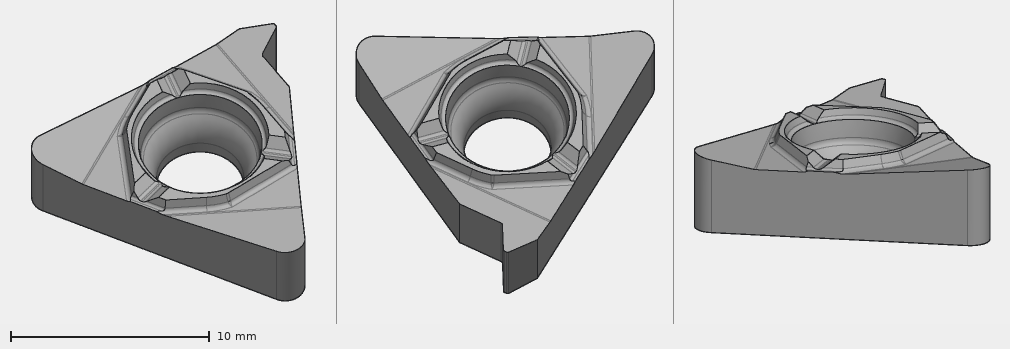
import cadquery as cq
import math

INSCRIBED_RADIUS = 9.525 / 2
CORNER_RADIUS = 1.0
INSERT_HEIGHT = 4.1
FLOOR_HEIGHT = 3.5
FIRST_SECTOR = 90
SECTOR_ANGLES = (0, 120, 240)

TOOTH_TIP_Y = 7.2
SHOULDER_Y = 5.68
TOOTH_HALF_WIDTH = 1.0
TOOTH_FLANK_ANGLE = 60
TOOTH_TIP_RADIUS = 0.1
TOOTH_ROOT_RADIUS = 0.15

RAKE_ANGLE = 10
RAKE_START = 4.25
RAKE_BLEND_RADIUS = 0.5
FLOOR_REACH = 12.0

ISLAND_FRONT = 3.75
ISLAND_FLANK = 3.62
ISLAND_SIDE = 4.27
ISLAND_FLANK_TURN = 32
ISLAND_SIDE_TURN = 90
ISLAND_DRAFT = 25
ISLAND_FOOT_RADIUS = 0.3
ISLAND_CREASE_RADIUS = 0.6
LEDGE_HEIGHT = 3.57
LEDGE_FOOT_RADIUS = 0.18

NOTCH_ANGLE = 46
NOTCH_BOTTOM = 3.6
NOTCH_BOTTOM_WIDTH = 0.3
NOTCH_TOP_WIDTH = 1.5
NOTCH_BLEND_RADIUS = 0.3
NOTCH_REACH = 8.0

HOLE_RADIUS = 4.4 / 2
HOLE_STRAIGHT_HEIGHT = 0.74
SEAT_RADIUS = 2.25
SEAT_FLARE_ANGLE = 45
HEAD_BOTTOM_RADIUS = 3.0
HEAD_TOP_RADIUS = 3.12
SHELF_HEIGHT = NOTCH_BOTTOM
RIM_RADIUS = 3.47
RIM_DRAFT = 20


def polar(radius, angle):
    """Point at a distance and an angle in degrees from the hole axis."""
    return (radius * math.cos(math.radians(angle)), radius * math.sin(math.radians(angle)))


def turned(solid, angle):
    """Solid turned about the hole axis, counterclockwise from above."""
    return solid.rotate((0, 0, 0), (0, 0, 1), angle)


def meet(distance_a, angle_a, distance_b, angle_b):
    """Crossing of two lines, each given by its distance and normal angle from the hole axis."""
    ax, ay = polar(1, angle_a)
    bx, by = polar(1, angle_b)
    determinant = ax * by - ay * bx
    x = (distance_a * by - distance_b * ay) / determinant
    y = (ax * distance_b - bx * distance_a) / determinant
    return (x, y)


def body_prism():
    """Triangle with two round corners and the tooth on the third one."""
    side = INSCRIBED_RADIUS
    tooth_x = TOOTH_HALF_WIDTH - side
    flank_slope = math.tan(math.radians(TOOTH_FLANK_ANGLE))
    tip_half_width = TOOTH_HALF_WIDTH - (TOOTH_TIP_Y - SHOULDER_Y) / flank_slope
    lower_corner = meet(side, 180, side, 300)
    right_corner = meet(side, 300, side, 60)
    shoulder_end = meet(side, 60, SHOULDER_Y, 90)
    tooth_root = (tooth_x + TOOTH_HALF_WIDTH, SHOULDER_Y)
    tip_right = (tooth_x + tip_half_width, TOOTH_TIP_Y)
    tip_left = (tooth_x - tip_half_width, TOOTH_TIP_Y)
    outline = [lower_corner, right_corner, shoulder_end, tooth_root, tip_right, tip_left, (-side, SHOULDER_Y)]
    prism = cq.Workplane("XY").polyline(outline).close().extrude(INSERT_HEIGHT)

    def round_edges(solid, points, radius):
        for x, y in points:
            edge = cq.selectors.NearestToPointSelector((x, y, INSERT_HEIGHT / 2))
            solid = solid.edges("|Z").edges(edge).fillet(radius)
        return solid

    prism = round_edges(prism, [lower_corner, right_corner], CORNER_RADIUS)
    prism = round_edges(prism, [tip_right, tip_left], TOOTH_TIP_RADIUS)
    return round_edges(prism, [tooth_root], TOOTH_ROOT_RADIUS)


def rake_wedge():
    """Material under the rake face on the +X side."""
    rake = math.radians(RAKE_ANGLE)
    blend_end = (RAKE_START + RAKE_BLEND_RADIUS * math.sin(rake),
                 FLOOR_HEIGHT + RAKE_BLEND_RADIUS * (1 - math.cos(rake)))
    blend_middle = (RAKE_START + RAKE_BLEND_RADIUS * math.sin(rake / 2),
                    FLOOR_HEIGHT + RAKE_BLEND_RADIUS * (1 - math.cos(rake / 2)))
    rake_end_height = blend_end[1] + (FLOOR_REACH - blend_end[0]) * math.tan(rake)
    return (
        cq.Workplane("XZ")
        .moveTo(RAKE_START, 0)
        .lineTo(RAKE_START, FLOOR_HEIGHT)
        .threePointArc(blend_middle, blend_end)
        .lineTo(FLOOR_REACH, rake_end_height)
        .lineTo(FLOOR_REACH, 0)
        .close()
        .extrude(FLOOR_REACH, both=True)
    )


def wall_outline(top_distance, floor=FLOOR_HEIGHT, foot_radius=ISLAND_FOOT_RADIUS):
    """Section outside a drafted island wall: wall, foot fillet and floor, against distance from the axis."""
    draft = math.radians(ISLAND_DRAFT)
    wall_angle = math.pi / 2 - draft
    spread = (INSERT_HEIGHT - floor) * math.tan(draft)
    foot_end = top_distance + spread + foot_radius * math.tan(wall_angle / 2)

    def foot_point(angle):
        return (foot_end - foot_radius * math.sin(angle),
                floor + foot_radius * (1 - math.cos(angle)))

    return (
        cq.Workplane("XZ")
        .moveTo(top_distance, INSERT_HEIGHT)
        .lineTo(*foot_point(wall_angle))
        .threePointArc(foot_point(wall_angle / 2), foot_point(0))
        .lineTo(FLOOR_REACH, floor)
        .lineTo(FLOOR_REACH, INSERT_HEIGHT)
        .close()
    )


def island_surroundings():
    """Material removed around one third of the island, whose front wall faces +X."""
    front_end = wall_outline(ISLAND_FRONT).extrude(FLOOR_REACH)
    front_round = wall_outline(ISLAND_FRONT).revolve(ISLAND_FLANK_TURN, (0, 0, 0), (0, 1, 0))
    flank = wall_outline(ISLAND_FLANK).extrude(FLOOR_REACH, both=True)
    side = wall_outline(ISLAND_SIDE, LEDGE_HEIGHT, LEDGE_FOOT_RADIUS).extrude(FLOOR_REACH, both=True)
    return [front_end, front_round, turned(flank, ISLAND_FLANK_TURN), turned(side, ISLAND_SIDE_TURN)]


def flank_creases():
    """Selector for the wall edges where each front round meets its flank wall."""
    turn = ISLAND_FLANK_TURN - math.degrees(math.acos(ISLAND_FLANK / ISLAND_FRONT))
    creases = None
    for sector in SECTOR_ANGLES:
        x, y = polar(ISLAND_FRONT, FIRST_SECTOR + sector + turn)
        crease = cq.selectors.NearestToPointSelector((x, y, (INSERT_HEIGHT + FLOOR_HEIGHT) / 2))
        creases = crease if creases is None else creases + crease
    return creases


def notch():
    """Trapezoid channel running outwards along +X with blended bottom corners."""
    rise = INSERT_HEIGHT - NOTCH_BOTTOM
    half_bottom = NOTCH_BOTTOM_WIDTH / 2
    half_top = NOTCH_TOP_WIDTH / 2
    return (
        cq.Workplane("YZ")
        .polyline([(-half_bottom, 0), (half_bottom, 0), (half_top, rise), (-half_top, rise)])
        .close()
        .extrude(NOTCH_REACH)
        .edges("|X and <Z")
        .fillet(NOTCH_BLEND_RADIUS)
        .translate((0, 0, NOTCH_BOTTOM))
    )


def screw_hole():
    """Straight hole, bulging seat, head bore and hollow rim, turned about the axis."""
    flare = math.radians(SEAT_FLARE_ANGLE)

    def seat_point(angle):
        return (HOLE_RADIUS + SEAT_RADIUS * (1 - math.cos(angle)),
                HOLE_STRAIGHT_HEIGHT + SEAT_RADIUS * math.sin(angle))

    seat_top = seat_point(flare)
    blend_radius = (HEAD_BOTTOM_RADIUS - seat_top[0]) / (1 - math.cos(flare))

    def blend_point(angle):
        return (HEAD_BOTTOM_RADIUS - blend_radius * (1 - math.cos(angle)),
                seat_top[1] + blend_radius * (math.sin(flare) - math.sin(angle)))

    draft = math.radians(RIM_DRAFT)
    hollow_turn = math.pi / 2 - draft
    wall_foot = RIM_RADIUS - (INSERT_HEIGHT - SHELF_HEIGHT) * math.tan(draft)
    hollow_radius = (wall_foot - HEAD_TOP_RADIUS) / math.tan(hollow_turn / 2)

    def hollow_point(angle):
        return (HEAD_TOP_RADIUS + hollow_radius * math.sin(angle),
                SHELF_HEIGHT + hollow_radius * (1 - math.cos(angle)))

    return (
        cq.Workplane("XZ")
        .lineTo(HOLE_RADIUS, 0)
        .lineTo(HOLE_RADIUS, HOLE_STRAIGHT_HEIGHT)
        .threePointArc(seat_point(flare / 2), seat_top)
        .threePointArc(blend_point(flare / 2), blend_point(0))
        .lineTo(HEAD_TOP_RADIUS, SHELF_HEIGHT)
        .threePointArc(hollow_point(hollow_turn / 2), hollow_point(hollow_turn))
        .lineTo(RIM_RADIUS, INSERT_HEIGHT)
        .lineTo(0, INSERT_HEIGHT)
        .close()
        .revolve(360, (0, 0, 0), (0, 1, 0))
    )


def insert_blank():
    """Insert before the screw hole, with its island, rake faces and notches."""
    body = body_prism()
    blank = body
    for sector in SECTOR_ANGLES:
        for surrounding in island_surroundings():
            blank = blank.cut(turned(surrounding, FIRST_SECTOR + sector))
    blank = blank.edges(flank_creases()).fillet(ISLAND_CREASE_RADIUS)
    for sector in SECTOR_ANGLES:
        blank = blank.union(turned(rake_wedge(), FIRST_SECTOR + sector).intersect(body))
    for sector in SECTOR_ANGLES:
        blank = blank.cut(turned(notch(), NOTCH_ANGLE + sector))
    return blank


result = insert_blank().cut(screw_hole())